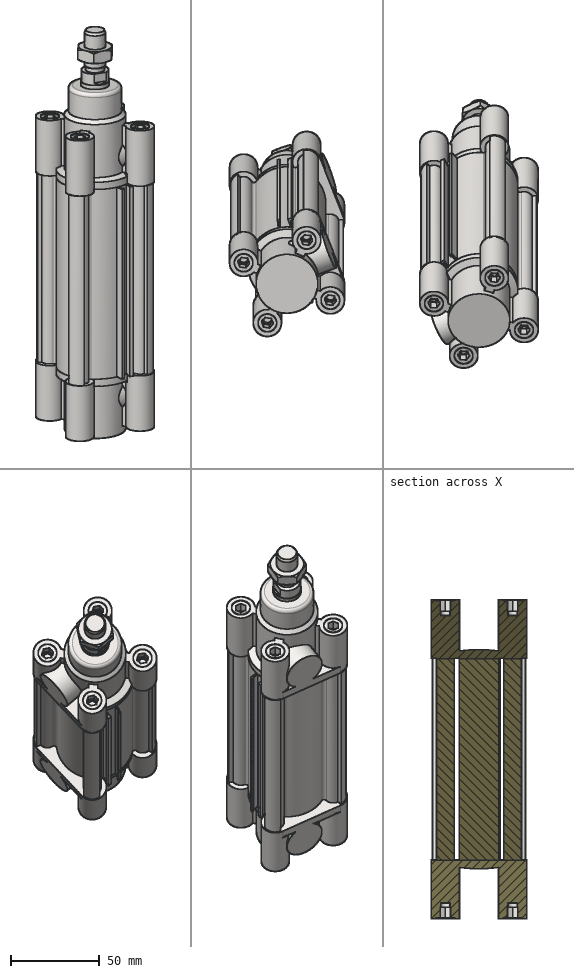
import cadquery as cq
import math


END_CAP_TOP = 37.3
HEAD_CAP_BOTTOM = 151.0
NOSE_TOP = 206.0
ROD_SHOULDER = 215.0
TOTAL_HEIGHT = 239.0
BARREL_LENGTH = HEAD_CAP_BOTTOM - END_CAP_TOP

OUTER_WIDTH = 54.0
BOSS_DIA = 16.0
CORNER_OFFSET = (OUTER_WIDTH - BOSS_DIA) / 2
CORNER_SIGNS = [(-1, -1), (1, -1), (1, 1), (-1, 1)]

BOSS_HEIGHT = 33.2
COLLAR_DIA = 44.0
COLLAR_EDGE_HEIGHT = 4.3
COLLAR_CREST_HEIGHT = 5.5
HUB_DIA = 35.0
WEB_WIDTH = 5.3

RECESS_DIA = 10.5
RECESS_DEPTH = 0.5
HEX_SOCKET_FLATS = 5.7
HEX_SOCKET_DEPTH = 6.0
SOCKET_BORE_DIA = 5.0
SOCKET_BORE_DEPTH = 2.5

PORT_DIA = 23.0
PORT_X = 4.5
PORT_HEIGHT = 15.3

NOSE_DIA = 30.0
NOSE_FILLET = 2.2
HUB_CONE_TOP = 190.5
HUB_CONE_HEIGHT = 2.2

POST_DIA = 10.0
POST_FILLET = 1.5
GUARD_RADIUS = 7.5
GUARD_APEX = 17.0
GUARD_FLANK_ANGLE = math.radians(17)
LIP_ROOT_DEPTH = 3.3

ROD_DIA = 16.0
WRENCH_DIA = 15.5
WRENCH_BOTTOM = 208.5
WRENCH_FLATS = 13.6
WRENCH_FLAT_BOTTOM = 209.8
NECK_DIA = 10.8
THREAD_BOTTOM = 217.7
THREAD_DIA = 12.0
THREAD_TIP_DIA = 10.5
THREAD_TIP_HEIGHT = 1.7

NUT_FLATS = 19.0
NUT_BOTTOM = 222.0
NUT_HEIGHT = 7.2
NUT_CHAMFER_SLOPE = math.tan(math.radians(30))


def disc(diameter, bottom, height):
    """Upright cylinder on the Z axis."""
    return cq.Workplane("XY").workplane(offset=bottom).circle(diameter / 2).extrude(height)


def cone(bottom_dia, top_dia, bottom, height):
    """Upright truncated cone on the Z axis."""
    profile = [(0, bottom), (bottom_dia / 2, bottom), (top_dia / 2, bottom + height), (0, bottom + height)]
    return cq.Workplane("XZ").polyline(profile).close().revolve(360, (0, 0), (0, 1))


def hexagon(across_flats, bottom, height):
    """Upright hexagonal prism on the Z axis, with corners toward +X and -X."""
    across_corners = across_flats / math.cos(math.radians(30))
    return cq.Workplane("XY").workplane(offset=bottom).polygon(6, across_corners).extrude(height)


def make_screw_recess():
    """Stepped recess of one corner boss: shallow round step, hexagon socket, round bottom."""
    floor = BOSS_HEIGHT - RECESS_DEPTH
    socket_floor = floor - HEX_SOCKET_DEPTH
    recess = disc(RECESS_DIA, floor, RECESS_DEPTH)
    recess = recess.union(hexagon(HEX_SOCKET_FLATS, socket_floor, HEX_SOCKET_DEPTH))
    return recess.union(disc(SOCKET_BORE_DIA, socket_floor - SOCKET_BORE_DEPTH, SOCKET_BORE_DEPTH))


def make_port_side():
    """Flat shelf and horizontal port housing reaching out to the +Y face."""
    reach = OUTER_WIDTH / 2
    shelf = (
        cq.Workplane("XY")
        .box(2 * CORNER_OFFSET, BOSS_DIA, COLLAR_CREST_HEIGHT, centered=(True, True, False))
        .translate((0, CORNER_OFFSET, 0))
    )
    housing = (
        cq.Workplane("XZ").center(PORT_X, PORT_HEIGHT).circle(PORT_DIA / 2).extrude(-reach)
    )
    return shelf.union(housing)


def make_cap(hub_height):
    """Cap standing on the plane Z = 0, where it meets the barrel."""
    cap = disc(COLLAR_DIA, 0, COLLAR_EDGE_HEIGHT)
    cap = cap.union(
        cone(COLLAR_DIA, HUB_DIA, COLLAR_EDGE_HEIGHT, COLLAR_CREST_HEIGHT - COLLAR_EDGE_HEIGHT)
    )
    cap = cap.union(disc(HUB_DIA, 0, hub_height))
    cap = cap.union(make_port_side())

    web_length = 2 * math.sqrt(2) * CORNER_OFFSET
    for angle in (45, 135):
        web = cq.Workplane("XY").box(web_length, WEB_WIDTH, BOSS_HEIGHT, centered=(True, True, False))
        cap = cap.union(web.rotate((0, 0, 0), (0, 0, 1), angle))

    boss = disc(BOSS_DIA, 0, BOSS_HEIGHT)
    recess = make_screw_recess()
    for sign_x, sign_y in CORNER_SIGNS:
        place = (sign_x * CORNER_OFFSET, sign_y * CORNER_OFFSET, 0)
        cap = cap.union(boss.translate(place))
        cap = cap.cut(recess.translate(place))
    return cap


def make_end_cap():
    """Lower cap, with its hub ending flush at Z = 0."""
    return make_cap(END_CAP_TOP).mirror("XY").translate((0, 0, END_CAP_TOP))


def make_head_cap():
    """Upper cap with a rounded nose, bored for the rod."""
    cone_bottom = HUB_CONE_TOP - HUB_CONE_HEIGHT
    cap = make_cap(cone_bottom - HEAD_CAP_BOTTOM).translate((0, 0, HEAD_CAP_BOTTOM))
    nose = disc(NOSE_DIA, cone_bottom, NOSE_TOP - cone_bottom).faces(">Z").edges().fillet(NOSE_FILLET)
    cap = cap.union(cone(HUB_DIA, NOSE_DIA, cone_bottom, HUB_CONE_HEIGHT)).union(nose)
    return cap.cut(disc(ROD_DIA, HEAD_CAP_BOTTOM, NOSE_TOP - HEAD_CAP_BOTTOM))


def make_corner_guard():
    """Outward-facing sector with spreading flanks around the post at the (+X, +Y) corner."""
    guard = disc(2 * GUARD_RADIUS, 0, BARREL_LENGTH).translate((CORNER_OFFSET, CORNER_OFFSET, 0))
    flank = 2 * GUARD_RADIUS
    steep = GUARD_APEX + flank * math.cos(GUARD_FLANK_ANGLE)
    shallow = GUARD_APEX + flank * math.sin(GUARD_FLANK_ANGLE)
    wedge = (
        cq.Workplane("XY")
        .polyline([(GUARD_APEX, GUARD_APEX), (steep, shallow), (steep, steep), (shallow, steep)])
        .close()
        .extrude(BARREL_LENGTH)
    )
    return guard.intersect(wedge)


def make_slot_lips():
    """Two hooked lips that form the sensor slot on the +X side, rooted in the round barrel."""
    root = COLLAR_DIA / 2 - LIP_ROOT_DEPTH
    lower_lip = [(root, 2.2), (26.3, 4.0), (26.3, 5.5), (25.0, 5.5), (25.0, 4.8), (root, 3.3)]
    upper_lip = [(root, 9.8), (24.5, 9.8), (24.5, 12.0), (23.0, 12.0), (23.0, 10.8), (root, 10.8)]
    lips = cq.Workplane("XY").polyline(lower_lip).close().extrude(BARREL_LENGTH)
    return lips.union(cq.Workplane("XY").polyline(upper_lip).close().extrude(BARREL_LENGTH))


def make_barrel():
    """Solid round barrel with four corner posts, their guards and a sensor slot on each X side."""
    barrel = disc(COLLAR_DIA, 0, BARREL_LENGTH)
    post = disc(POST_DIA, 0, BARREL_LENGTH)
    for sign_x, sign_y in CORNER_SIGNS:
        barrel = barrel.union(post.translate((sign_x * CORNER_OFFSET, sign_y * CORNER_OFFSET, 0)))
    barrel = barrel.edges("|Z").fillet(POST_FILLET)

    guard = make_corner_guard()
    for quarter_turn in range(len(CORNER_SIGNS)):
        barrel = barrel.union(guard.rotate((0, 0, 0), (0, 0, 1), 90 * quarter_turn))
    lips = make_slot_lips()
    barrel = barrel.union(lips).union(lips.mirror("YZ"))
    return barrel.translate((0, 0, END_CAP_TOP))


def make_wrench_flat():
    """Cutter for the flat on the +X side of the rod, with a 45 degree run-out at its lower end."""
    run_out = WRENCH_FLAT_BOTTOM - WRENCH_BOTTOM
    flat = WRENCH_FLATS / 2
    profile = [
        (flat, ROD_SHOULDER),
        (flat, WRENCH_FLAT_BOTTOM),
        (flat + run_out, WRENCH_BOTTOM),
        (flat + run_out, ROD_SHOULDER),
    ]
    return cq.Workplane("XZ").polyline(profile).close().extrude(WRENCH_DIA / 2, both=True)


def make_rod():
    """Stepped rod with two wrench flats, a neck and a threaded end, seated on the barrel."""
    tip_bottom = TOTAL_HEIGHT - THREAD_TIP_HEIGHT
    rod = disc(ROD_DIA, HEAD_CAP_BOTTOM, WRENCH_BOTTOM - HEAD_CAP_BOTTOM)
    wrench_part = disc(WRENCH_DIA, WRENCH_BOTTOM, ROD_SHOULDER - WRENCH_BOTTOM)
    flat = make_wrench_flat()
    wrench_part = wrench_part.cut(flat).cut(flat.mirror("YZ"))
    rod = rod.union(wrench_part)
    rod = rod.union(disc(NECK_DIA, ROD_SHOULDER, THREAD_BOTTOM - ROD_SHOULDER))
    rod = rod.union(disc(THREAD_DIA, THREAD_BOTTOM, tip_bottom - THREAD_BOTTOM))
    return rod.union(cone(THREAD_DIA, THREAD_TIP_DIA, tip_bottom, THREAD_TIP_HEIGHT))


def make_nut():
    """Hexagon nut with its corners toward +Y and -Y, chamfered on both faces."""
    top = NUT_BOTTOM + NUT_HEIGHT
    flat_radius = NUT_FLATS / 2
    corner_radius = flat_radius / math.cos(math.radians(30))
    drop = (corner_radius - flat_radius) * NUT_CHAMFER_SLOPE
    profile = [
        (0, NUT_BOTTOM),
        (flat_radius, NUT_BOTTOM),
        (corner_radius, NUT_BOTTOM + drop),
        (corner_radius, top - drop),
        (flat_radius, top),
        (0, top),
    ]
    envelope = cq.Workplane("XZ").polyline(profile).close().revolve(360, (0, 0), (0, 1))
    prism = hexagon(NUT_FLATS, NUT_BOTTOM, NUT_HEIGHT).rotate((0, 0, 0), (0, 0, 1), 90)
    return prism.intersect(envelope).cut(disc(THREAD_DIA, NUT_BOTTOM, NUT_HEIGHT))


end_cap = make_end_cap()
barrel = make_barrel()
head_cap = make_head_cap()
rod = make_rod()
nut = make_nut()

bodies = [end_cap, barrel, head_cap, rod, nut]
result = cq.Compound.makeCompound([body.solids().val() for body in bodies])